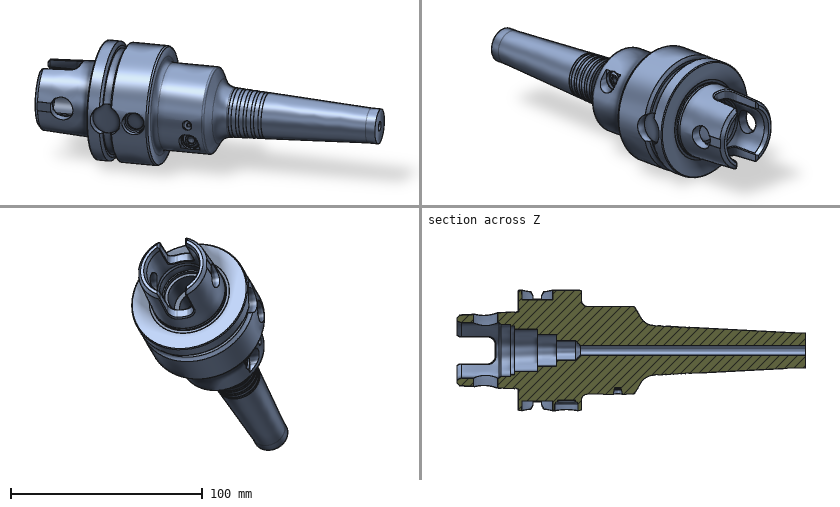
import cadquery as cq
import math


SHANK_LENGTH = 32.0
FACE_RADIUS = 20.25
TAPER_SLOPE = 1 / 20
LEAD_LENGTH = 1.8
LEAD_END_RADIUS = 17.0
RELIEF_START = -1.9
RELIEF_END = -0.6
RELIEF_DEPTH = 0.4
FACE_RECESS_RADIUS = 21.8
FACE_RECESS_DEPTH = 0.3

SLOT_WIDTH = 14.0
SLOT_END = -12.0
SLOT_CORNER = 4.0
RIM_SLACK = 0.05
OUTER_RIM_CHAMFER = 0.7
INNER_RIM_CHAMFER = 0.4
SLOT_FLARE = 1.0
SLOT_FLARE_LENGTH = 1.5
ACCESS_HOLE_DIAMETER = 12.5
ACCESS_HOLE_X = -17.0
KEYWAY_WIDTH = 5.0
KEYWAY_DEPTH = 0.3

FLANGE_RADIUS = 31.5
FLANGE_LENGTH = 33.1
FLANGE_BACK_CHAMFER = 0.5
FLANGE_FRONT_CHAMFER = (1.0, 0.5)
GRIP_X = 10.0
GRIP_HALF_TOP = 3.3
GRIP_HALF_BOTTOM = 2.15
GRIP_CONE_RADIUS = 29.4
GRIP_FLOOR_RADIUS = 28.0

SPOT_DIAMETER = 16.0
SPOT_FLOOR = 26.5

PLUG_X = 25.2
PLUG_HOLE_DIAMETER = 12.0
PLUG_SHOULDER_DIAMETER = 11.0
PLUG_FLOOR_DIAMETER = 9.0
PLUG_CONE_START = 28.0
PLUG_SHOULDER = 27.0
PLUG_FLOOR = 26.0

BODY_RADIUS = 23.0
BODY_FILLET = 3.0
BODY_END = 59.9
SHOULDER_FILLET = 1.25
SHOULDER_ANGLE = math.radians(60)
NECK_FILLET = 8.0
NOSE_ANGLE = math.radians(3)
NOSE_END = 150.0
TIP_LENGTH = 5.2
TIP_RADIUS = 9.2

RING_COUNT = 5
RING_START = 71.4
RING_WIDTH = 1.65
RING_PITCH = 4.0
RING_DEPTH = 0.2

SCREW_X = 52.0
POCKET_Z = -11.8
POCKET_WIDTH = 10.4
POCKET_FLOOR = 16.0
SCREW_HOLE_DIAMETER = 10.0
SCREW_DIAMETER = 9.0
SCREW_FACE_DIAMETER = 6.0
SCREW_HOLE_DEPTH = 2.0
SCREW_FACE_DEPTH = 0.5
SCREW_HEX_CORNERS = 4.62
SCREW_HEX_DEPTH = 1.0
SCREW_CONE_DIAMETER = 4.0
SCREW_CONE_DEPTH = 1.2

PIN_Z = -1.15
PIN_DIAMETER = 5.0
PIN_DEPTH = 3.0
PIN_TILT = 15.0
PIN_HEX_CORNERS = 2.31
PIN_HEX_DEPTH = 1.5

BORE_MOUTH_RADIUS = 15.3
BORE_RADIUS = 14.4
BORE_MOUTH_LENGTH = 2.4
BORE_SHOULDER = -10.0
BORE_STEPS = [(-9.0, 13.5), (-4.0, 12.7), (-2.0, 11.0), (10.0, 8.2), (20.0, 5.0)]
FEED_CONE_START = 30.0
FEED_RADIUS = 2.5


def taper_radius(x):
    """Outer radius of the shank taper at position x."""
    return FACE_RADIUS + TAPER_SLOPE * x


def turned_body():
    """Solid of revolution without the bore."""
    lead_x = -SHANK_LENGTH + LEAD_LENGTH
    front_axial, front_radial = FLANGE_FRONT_CHAMFER
    relief_middle = (RELIEF_START + RELIEF_END) / 2

    half = SHOULDER_ANGLE / 2
    shoulder_mid = (BODY_END + SHOULDER_FILLET * math.sin(half),
                    BODY_RADIUS - SHOULDER_FILLET * (1 - math.cos(half)))
    shoulder_x = BODY_END + SHOULDER_FILLET * math.sin(SHOULDER_ANGLE)
    shoulder_r = BODY_RADIUS - SHOULDER_FILLET * (1 - math.cos(SHOULDER_ANGLE))

    tip_x = NOSE_END - TIP_LENGTH

    def neck_offset(angle):
        return (-NECK_FILLET * math.sin(angle), -NECK_FILLET * math.cos(angle))

    shoulder_dx, shoulder_dr = neck_offset(SHOULDER_ANGLE)
    nose_dx, nose_dr = neck_offset(NOSE_ANGLE)
    slope_s, slope_n = math.tan(SHOULDER_ANGLE), math.tan(NOSE_ANGLE)
    level_s = shoulder_r + slope_s * (shoulder_x - shoulder_dx) - shoulder_dr
    level_n = TIP_RADIUS + slope_n * (tip_x - nose_dx) - nose_dr
    centre_x = (level_s - level_n) / (slope_s - slope_n)
    centre_r = level_s - slope_s * centre_x
    mid_dx, mid_dr = neck_offset((SHOULDER_ANGLE + NOSE_ANGLE) / 2)

    bend = BODY_FILLET * (1 - math.sqrt(0.5))
    return (
        cq.Workplane("XY")
        .moveTo(-SHANK_LENGTH, 0)
        .lineTo(-SHANK_LENGTH, LEAD_END_RADIUS)
        .lineTo(lead_x, taper_radius(lead_x))
        .lineTo(RELIEF_START, taper_radius(RELIEF_START))
        .threePointArc((relief_middle, taper_radius(relief_middle) - RELIEF_DEPTH),
                       (RELIEF_END, taper_radius(RELIEF_END)))
        .lineTo(FACE_RECESS_DEPTH, FACE_RADIUS)
        .lineTo(FACE_RECESS_DEPTH, FACE_RECESS_RADIUS)
        .lineTo(0, FACE_RECESS_RADIUS)
        .lineTo(0, FLANGE_RADIUS - FLANGE_BACK_CHAMFER)
        .lineTo(FLANGE_BACK_CHAMFER, FLANGE_RADIUS)
        .lineTo(GRIP_X - GRIP_HALF_TOP, FLANGE_RADIUS)
        .lineTo(GRIP_X - GRIP_HALF_BOTTOM, GRIP_CONE_RADIUS)
        .lineTo(GRIP_X - GRIP_HALF_BOTTOM, GRIP_FLOOR_RADIUS)
        .lineTo(GRIP_X + GRIP_HALF_BOTTOM, GRIP_FLOOR_RADIUS)
        .lineTo(GRIP_X + GRIP_HALF_BOTTOM, GRIP_CONE_RADIUS)
        .lineTo(GRIP_X + GRIP_HALF_TOP, FLANGE_RADIUS)
        .lineTo(FLANGE_LENGTH - front_axial, FLANGE_RADIUS)
        .lineTo(FLANGE_LENGTH, FLANGE_RADIUS - front_radial)
        .lineTo(FLANGE_LENGTH, BODY_RADIUS + BODY_FILLET)
        .threePointArc((FLANGE_LENGTH + bend, BODY_RADIUS + bend),
                       (FLANGE_LENGTH + BODY_FILLET, BODY_RADIUS))
        .lineTo(BODY_END, BODY_RADIUS)
        .threePointArc(shoulder_mid, (shoulder_x, shoulder_r))
        .lineTo(centre_x + shoulder_dx, centre_r + shoulder_dr)
        .threePointArc((centre_x + mid_dx, centre_r + mid_dr),
                       (centre_x + nose_dx, centre_r + nose_dr))
        .lineTo(tip_x, TIP_RADIUS)
        .lineTo(NOSE_END, TIP_RADIUS)
        .lineTo(NOSE_END, 0)
        .close()
        .revolve(360, (0, 0, 0), (1, 0, 0))
    )


def bore():
    """Stepped bore of the shank with the feed hole through the nose."""
    outline = (
        cq.Workplane("XY")
        .moveTo(-SHANK_LENGTH, 0)
        .lineTo(-SHANK_LENGTH, BORE_MOUTH_RADIUS)
        .lineTo(-SHANK_LENGTH + BORE_MOUTH_LENGTH, BORE_RADIUS)
        .lineTo(BORE_SHOULDER, BORE_RADIUS)
    )
    step_ends = [x for x, _ in BORE_STEPS[1:]] + [FEED_CONE_START]
    for (start, radius), end in zip(BORE_STEPS, step_ends):
        outline = outline.lineTo(start, radius).lineTo(end, radius)
    last_radius = BORE_STEPS[-1][1]
    return (
        outline
        .lineTo(FEED_CONE_START + last_radius - FEED_RADIUS, FEED_RADIUS)
        .lineTo(NOSE_END, FEED_RADIUS)
        .lineTo(NOSE_END, 0)
        .close()
        .revolve(360, (0, 0, 0), (1, 0, 0))
    )


def side_plane(x, z, distance):
    """Work plane facing -Y at the given distance from the axis."""
    return cq.Workplane(cq.Plane((x, -distance, z), (1, 0, 0), (0, -1, 0)))


def opposite(shape):
    """The same shape half a turn about the part axis."""
    return shape.rotate((0, 0, 0), (1, 0, 0), 180)


def ring(x):
    """Shallow ring following the nose taper."""
    slope = math.tan(NOSE_ANGLE)

    def nose_radius(at):
        return TIP_RADIUS + slope * (NOSE_END - TIP_LENGTH - at)

    end = x + RING_WIDTH
    return (
        cq.Workplane("XY")
        .moveTo(x, nose_radius(x) - RING_DEPTH)
        .lineTo(end, nose_radius(end) - RING_DEPTH)
        .lineTo(end, BODY_RADIUS)
        .lineTo(x, BODY_RADIUS)
        .close()
        .revolve(360, (0, 0, 0), (1, 0, 0))
    )


def drive_slot():
    """Round-cornered slot through both walls of the shank, open to -X."""
    half = SLOT_WIDTH / 2
    mouth = -SHANK_LENGTH
    profile = [
        (mouth, half + SLOT_FLARE),
        (mouth + SLOT_FLARE_LENGTH, half),
        (SLOT_END, half),
        (SLOT_END, -half),
        (mouth + SLOT_FLARE_LENGTH, -half),
        (mouth, -half - SLOT_FLARE),
    ]
    return (
        cq.Workplane("XY")
        .polyline(profile).close()
        .extrude(FLANGE_RADIUS, both=True)
        .edges("|Z and >X").fillet(SLOT_CORNER)
    )


def slot_zone(start, height):
    """Selector for edges on the slot outline, start behind the open end and within the height."""
    half = SLOT_WIDTH / 2 + RIM_SLACK
    return cq.selectors.BoxSelector(
        (-SHANK_LENGTH + start - RIM_SLACK, -half, -height),
        (SLOT_END + RIM_SLACK, half, height),
        boundingbox=True)


def chamfer_slot_rims(shank):
    """Chamfer the slot rims on the bore and then those on the taper."""
    inner_zone = slot_zone(BORE_MOUTH_LENGTH, BORE_RADIUS + RIM_SLACK)
    shank = shank.edges(inner_zone).edges("not |Z").chamfer(INNER_RIM_CHAMFER)
    mid_wall = (BORE_RADIUS + LEAD_END_RADIUS) / 2
    outer_zone = slot_zone(LEAD_LENGTH, FLANGE_RADIUS) - slot_zone(LEAD_LENGTH, mid_wall)
    return shank.edges(outer_zone).edges("not |Z").chamfer(OUTER_RIM_CHAMFER)


def keyway():
    """Shallow keyway on the -Y side, its floor parallel to the taper."""
    start, end = -SHANK_LENGTH, ACCESS_HOLE_X
    return (
        cq.Workplane("XY")
        .moveTo(start, -taper_radius(start) + KEYWAY_DEPTH)
        .lineTo(end, -taper_radius(end) + KEYWAY_DEPTH)
        .lineTo(end, -FLANGE_RADIUS)
        .lineTo(start, -FLANGE_RADIUS)
        .close()
        .extrude(KEYWAY_WIDTH / 2, both=True)
    )


def plug_recess():
    """Stepped recess left by the plug in the flange."""
    mouth = side_plane(PLUG_X, 0, PLUG_CONE_START).circle(PLUG_HOLE_DIAMETER / 2).extrude(FLANGE_RADIUS)
    cone = (
        side_plane(PLUG_X, 0, PLUG_SHOULDER)
        .circle(PLUG_SHOULDER_DIAMETER / 2)
        .workplane(offset=PLUG_CONE_START - PLUG_SHOULDER)
        .circle(PLUG_HOLE_DIAMETER / 2)
        .loft()
    )
    floor = (side_plane(PLUG_X, 0, PLUG_FLOOR)
             .circle(PLUG_FLOOR_DIAMETER / 2).extrude(PLUG_SHOULDER - PLUG_FLOOR))
    return mouth.union(cone).union(floor)


def screw_pocket():
    """Open-sided pocket with a chamfered hex-socket screw sunk in its floor."""
    floor = side_plane(SCREW_X, POCKET_Z, POCKET_FLOOR)
    pocket = floor.circle(POCKET_WIDTH / 2).extrude(BODY_RADIUS)
    opening = (floor.center(0, -BODY_RADIUS / 2)
               .rect(POCKET_WIDTH, BODY_RADIUS).extrude(BODY_RADIUS))
    hole = floor.circle(SCREW_HOLE_DIAMETER / 2).extrude(-SCREW_HOLE_DEPTH)
    screw_height = SCREW_HOLE_DEPTH - SCREW_FACE_DEPTH
    screw = (
        side_plane(SCREW_X, POCKET_Z, POCKET_FLOOR - SCREW_HOLE_DEPTH)
        .circle(SCREW_DIAMETER / 2)
        .workplane(offset=screw_height)
        .circle(SCREW_FACE_DIAMETER / 2)
        .loft()
    )
    socket = (side_plane(SCREW_X, POCKET_Z, POCKET_FLOOR - SCREW_FACE_DEPTH)
              .polygon(6, SCREW_HEX_CORNERS).extrude(-SCREW_HEX_DEPTH))
    hex_bottom = POCKET_FLOOR - SCREW_FACE_DEPTH - SCREW_HEX_DEPTH
    drill_point = cq.Workplane(obj=cq.Solid.makeCone(
        SCREW_CONE_DIAMETER / 2, 0, SCREW_CONE_DEPTH,
        cq.Vector(SCREW_X, -hex_bottom, POCKET_Z), cq.Vector(0, 1, 0)))
    return pocket.union(opening).union(hole).cut(screw).union(socket).union(drill_point)


def pin_hole():
    """Tilted set-screw hole with a hexagon socket in its floor."""
    hole = (side_plane(SCREW_X, PIN_Z, BODY_RADIUS - PIN_DEPTH)
            .circle(PIN_DIAMETER / 2).extrude(2 * PIN_DEPTH))
    socket = (side_plane(SCREW_X, PIN_Z, BODY_RADIUS - PIN_DEPTH)
              .polygon(6, PIN_HEX_CORNERS).extrude(-PIN_HEX_DEPTH))
    entry = (SCREW_X, -BODY_RADIUS, PIN_Z)
    tilt_end = (SCREW_X + 1, -BODY_RADIUS, PIN_Z)
    return hole.union(socket).rotate(entry, tilt_end, -PIN_TILT)


result = chamfer_slot_rims(turned_body().cut(bore()).cut(drive_slot()))

for index in range(RING_COUNT):
    result = result.cut(ring(RING_START + index * RING_PITCH))

access_hole = (side_plane(ACCESS_HOLE_X, 0, 0)
               .circle(ACCESS_HOLE_DIAMETER / 2).extrude(FLANGE_RADIUS, both=True))
result = result.cut(keyway()).cut(opposite(keyway())).cut(access_hole)

spot = side_plane(GRIP_X, 0, SPOT_FLOOR).circle(SPOT_DIAMETER / 2).extrude(FLANGE_RADIUS)
pocket = screw_pocket()
result = result.cut(spot).cut(opposite(spot))
result = result.cut(pocket).cut(opposite(pocket))
result = result.cut(plug_recess()).cut(pin_hole())